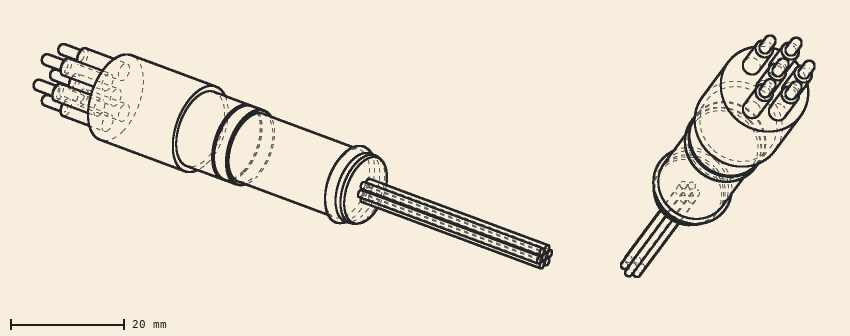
import cadquery as cq
import math

total_length = 109.9
shell_start = 14.3
shell_end = 33.2
collar_end = 44.4
body_end = 70.0

shell_diameter = 15.9
collar_diameter = 14.0
sleeve_diameter = 12.7

groove_start = 41.2
groove_width = 0.3
groove_depth = 0.1

collar_chamfer = 0.1

lip_start = 65.9
lip_peak = 66.5
lip_end = 68.2
lip_diameter = 14.3

end_chamfer_length = 0.7
end_chamfer_depth = 0.2

circle_divisions = 6

pin_circle_radius = 4.7
pin_diameter = 3.2
pin_cone_start = 4.7
pin_cone_end = 5.0
pin_tip_diameter = 2.0
pin_tip_fillet = 0.8

wire_diameter = 1.3
wire_gap = 0.19
wire_circle_radius = wire_diameter + wire_gap

root_overlap = 1.1


def revolved(profile):
    """Solid turned about the X axis from (X, radius) points."""
    return cq.Workplane("XY").polyline(profile).close().revolve(360, (0, 0, 0), (1, 0, 0))


def circle_places(radius, places):
    """Centre point plus the given places of a divided circle, as (Y, Z)."""
    points = [(0.0, 0.0)]
    for place in places:
        angle = 2 * math.pi * place / circle_divisions
        points.append((radius * math.cos(angle), radius * math.sin(angle)))
    return points


def make_body():
    shell_radius = shell_diameter / 2
    collar_radius = collar_diameter / 2
    groove_radius = collar_radius - groove_depth
    sleeve_radius = sleeve_diameter / 2
    groove_end = groove_start + groove_width
    profile = [
        (shell_start, 0),
        (shell_start, shell_radius),
        (shell_end, shell_radius),
        (shell_end, collar_radius),
        (groove_start, collar_radius),
        (groove_start, groove_radius),
        (groove_end, groove_radius),
        (groove_end, collar_radius),
        (collar_end - collar_chamfer, collar_radius),
        (collar_end, collar_radius - collar_chamfer),
        (collar_end, sleeve_radius),
        (lip_start, sleeve_radius),
        (lip_peak, lip_diameter / 2),
        (lip_end, sleeve_radius),
        (body_end - end_chamfer_length, sleeve_radius),
        (body_end, sleeve_radius - end_chamfer_depth),
        (body_end, 0),
    ]
    return revolved(profile)


def make_pin():
    """Slim tip with a rounded nose, widening through a short cone into the shank."""
    tip_radius = pin_tip_diameter / 2
    shank_radius = pin_diameter / 2
    root = shell_start + root_overlap
    profile = [
        (0, 0),
        (0, tip_radius),
        (pin_cone_start, tip_radius),
        (pin_cone_end, shank_radius),
        (root, shank_radius),
        (root, 0),
    ]
    return revolved(profile).faces("<X").edges().fillet(pin_tip_fillet)


def make_wire():
    root = body_end - root_overlap
    return cq.Workplane("YZ", origin=(root, 0, 0)).circle(wire_diameter / 2).extrude(total_length - root)


result = make_body()

pin = make_pin()
for y, z in circle_places(pin_circle_radius, range(1, circle_divisions)):
    result = result.union(pin.translate((0, y, z)))

wire = make_wire()
for y, z in circle_places(wire_circle_radius, range(circle_divisions)):
    result = result.union(wire.translate((0, y, z)))